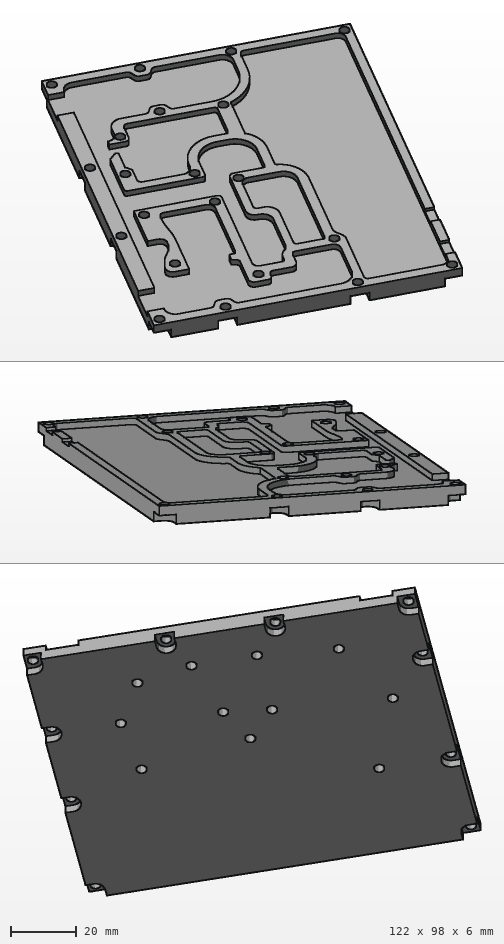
import cadquery as cq
import math

LENGTH = 122.0
WIDTH = 98.0
THICKNESS = 6.0
POCKET_DEPTH = 2.0
FLOOR_Z = THICKNESS - POCKET_DEPTH

RIM_LEFT = 3.2
RIM_RIGHT = LENGTH - RIM_LEFT
RIM_FRONT = 5.2
RIM_BACK = WIDTH - 3.0
RIM_CORNER_RADIUS = 3.5
BACK_CORNER_RADIUS = 2.5

LEFT_WALL = 24.0
WALL_FRONT = 9.5
MIDDLE_BACK = 61.9
RIGHT_BACK = 65.2

OPENING_START = 7.0
OPENING_WIDTH = 10.2

BACK_NOTCH_STARTS = (91.6, 107.9)
BACK_NOTCH_WIDTH = 6.2
BACK_NOTCH_DEPTH = 1.0

HOLE_DIAMETER = 3.2
HEAD_DIAMETER = 6.0
HEAD_DEPTH = 3.0
EDGE_OFFSET = 2.5
FRONT_HOLE_X = (44.0, 78.0)
LEFT_HOLE_Y = (30.5, 59.5)
RIGHT_HOLE_Y = (23.5, 65.5)
WALL_BOSS_HOLE = (LEFT_WALL, LEFT_HOLE_Y[0])
WALL_HOLES = (
    WALL_BOSS_HOLE,
    (26.4, 50.0),
    (32.3, 15.5),
    (49.9, 12.0),
    (55.5, 32.4),
    (61.4, 44.6),
    (70.3, 34.5),
    (70.3, 12.0),
    (95.3, 14.5),
    (107.3, 37.5),
    (97.4, 64.5),
)

BOSS_HEIGHT = 2.9
BOSS_FOOT_HALF = 3.7
BOSS_TIP_HALF = 2.1
BOSS_ROUND = 1.6


def rounded_outline(corners):
    """Draw a closed outline from (x, y, corner radius) vertices."""
    sections = []
    for i, (x, y, radius) in enumerate(corners):
        before = corners[i - 1]
        after = corners[(i + 1) % len(corners)]
        corner = cq.Vector(x, y)
        back = (cq.Vector(before[0], before[1]) - corner).normalized()
        ahead = (cq.Vector(after[0], after[1]) - corner).normalized()
        if radius == 0:
            sections.append((corner,))
            continue
        half_angle = back.getAngle(ahead) / 2
        reach = radius / math.tan(half_angle)
        bisector = (back + ahead).normalized()
        middle = corner + bisector * (radius / math.sin(half_angle) - radius)
        sections.append((corner + back * reach, middle, corner + ahead * reach))

    start = sections[0][-1]
    outline = cq.Workplane("XY").workplane(offset=FLOOR_Z).moveTo(start.x, start.y)
    for section in sections[1:] + sections[:1]:
        outline = outline.lineTo(section[0].x, section[0].y)
        if len(section) > 1:
            _, middle, end = section
            outline = outline.threePointArc((middle.x, middle.y), (end.x, end.y))
    return outline.close()


def pocket(corners):
    """Pocket volume from the floor up to the top face."""
    return rounded_outline(corners).extrude(POCKET_DEPTH)


def boss_bulge(face_x, hole_y, outward, direction):
    """Vertices of a bulge on a wall face; direction is the travel along Y."""
    tip_x = face_x + outward * BOSS_HEIGHT
    return [
        (face_x, hole_y - direction * BOSS_FOOT_HALF, BOSS_ROUND),
        (tip_x, hole_y - direction * BOSS_TIP_HALF, BOSS_ROUND),
        (tip_x, hole_y + direction * BOSS_TIP_HALF, BOSS_ROUND),
        (face_x, hole_y + direction * BOSS_FOOT_HALF, BOSS_ROUND),
    ]


def upper_pocket():
    """Large chamber along the back of the plate."""
    return pocket([
        (RIM_LEFT, RIM_BACK, BACK_CORNER_RADIUS),
        (RIM_LEFT, MIDDLE_BACK, 1.5),
        (22.2, MIDDLE_BACK, 14.5),
        (25.9, 52.5, 0),
        (41.4, 52.5, 0),
        (44.4, 57.1, 9.8),
        (58.4, 57.1, 0.8),
        (60.4, RIGHT_BACK, 9.0),
        (94.0, RIGHT_BACK, 3.0),
        (97.3, 68.0, 3.0),
        (RIM_RIGHT, 68.0, 1.2),
        (RIM_RIGHT, RIM_BACK, BACK_CORNER_RADIUS),
    ])


def middle_pocket():
    """Closed chamber in the middle of the plate."""
    return pocket([
        (62.05, MIDDLE_BACK, 4.5),
        (96.7, MIDDLE_BACK, 1.0),
        (96.7, 52.0, 1.0),
        (77.0, 52.0, 4.0),
        (77.0, 45.0, 1.2),
        (62.05, 45.0, 2.5),
    ])


def lower_pocket():
    """Connected lower chambers, followed clockwise round their common wall face."""
    left_chamber = [
        (RIM_LEFT, RIM_FRONT, RIM_CORNER_RADIUS),
        *boss_bulge(RIM_LEFT, LEFT_HOLE_Y[0], 1, 1),
        (RIM_LEFT, 59.0, 3.5),
        (LEFT_WALL, 59.0, 12.0),
        *boss_bulge(LEFT_WALL, WALL_BOSS_HOLE[1], -1, -1),
        (LEFT_WALL, 14.1, 4.0),
        (33.4, 14.1, 2.7),
        (33.4, 11.3, 0),
        (35.0, 11.3, 0),
    ]
    left_middle_chamber = [
        (35.0, 17.9, 1.5),
        (26.9, 17.9, 1.5),
        (26.9, 47.8, 1.0),
        (40.0, 47.8, 1.2),
        (40.0, 31.9, 11.0),
        (55.0, 31.9, 3.0),
        (55.0, 14.6, 1.3),
        (48.5, 14.6, 0.8),
        (46.8, 12.8, 0),
        (39.9, 12.8, 0.4),
        (39.4, 12.0, 0.2),
        (41.9, WALL_FRONT, 0),
        (57.9, WALL_FRONT, 0.8),
    ]
    central_chamber = [
        (57.9, 35.2, 0.8),
        (42.9, 35.2, 8.0),
        (42.9, 53.9, 7.0),
        (58.8, 53.9, 1.0),
        (58.8, 42.2, 1.5),
        (79.9, 42.2, 2.8),
        (79.9, 49.3, 3.5),
        (97.2, 49.3, 3.0),
        (100.2, 47.0, 3.0),
        (103.65, 47.0, 1.2),
        (103.65, 37.1, 2.0),
        (67.7, 37.1, 1.2),
    ]
    right_middle_chamber = [
        (67.7, WALL_FRONT, 0),
        (82.7, WALL_FRONT, 0),
        (82.7, 15.2, 2.3),
        (87.5, 15.0, 4.0),
        (92.5, 12.0, 5.0),
        (99.1, 10.3, 2.3),
        (99.1, 17.9, 0),
        (82.5, 17.9, 20.0),
        (75.5, 16.5, 20.0),
        (70.95, 16.5, 1.5),
        (70.95, 33.8, 2.3),
        (95.6, 33.8, 1.0),
        (96.0, 31.5, 0.5),
        (98.5, 31.5, 0.5),
        (99.2, 33.8, 1.0),
    ]
    right_chamber = [
        (110.7, 33.8, 1.8),
        (110.7, 40.9, 1.3),
        (106.95, 41.1, 1.3),
        (106.95, 50.2, 2.0),
        (99.95, 50.2, 1.2),
        (99.95, RIGHT_BACK, 2.3),
        (RIM_RIGHT, RIGHT_BACK, 4.8),
        *boss_bulge(RIM_RIGHT, RIGHT_HOLE_Y[0], -1, -1),
        (RIM_RIGHT, RIM_FRONT, RIM_CORNER_RADIUS),
    ]
    left_half = left_chamber + left_middle_chamber + central_chamber
    return pocket(left_half + right_middle_chamber + right_chamber)


def block(x, y, z, length, width, height):
    """Box placed by its lowest corner."""
    return cq.Workplane("XY").box(length, width, height, centered=False).translate((x, y, z))


def front_openings():
    """Gaps in the front rim, level with the pocket floor."""
    left = block(OPENING_START, 0, FLOOR_Z, OPENING_WIDTH, RIM_FRONT, POCKET_DEPTH)
    return left.union(left.mirror("YZ").translate((LENGTH, 0, 0)))


def cut_back_notches(body):
    """Lower the back rim at each notch."""
    notch_z = THICKNESS - BACK_NOTCH_DEPTH
    rim_width = WIDTH - RIM_BACK
    for start in BACK_NOTCH_STARTS:
        notch = block(start, RIM_BACK, notch_z, BACK_NOTCH_WIDTH, rim_width, BACK_NOTCH_DEPTH)
        body = body.cut(notch)
    return body


def edge_recess(x, y, out_x, out_y):
    """Screw head recess at an edge hole, run out through the edges it points to."""
    radius = HEAD_DIAMETER / 2
    recess = cq.Workplane("XY").center(x, y).circle(radius).extrude(HEAD_DEPTH)
    if out_x:
        x_low = min(x, x + out_x * EDGE_OFFSET)
        recess = recess.union(block(x_low, y - radius, 0, EDGE_OFFSET, HEAD_DIAMETER, HEAD_DEPTH))
    if out_y:
        y_low = min(y, y + out_y * EDGE_OFFSET)
        recess = recess.union(block(x - radius, y_low, 0, HEAD_DIAMETER, EDGE_OFFSET, HEAD_DEPTH))
    return recess


FAR_X = LENGTH - EDGE_OFFSET
FAR_Y = WIDTH - EDGE_OFFSET
edge_holes = [
    (EDGE_OFFSET, EDGE_OFFSET, -1, -1),
    (FAR_X, EDGE_OFFSET, 1, -1),
    (FAR_X, FAR_Y, 1, 1),
    (EDGE_OFFSET, FAR_Y, -1, 1),
]
edge_holes += [(x, EDGE_OFFSET, 0, -1) for x in FRONT_HOLE_X]
edge_holes += [(EDGE_OFFSET, y, -1, 0) for y in LEFT_HOLE_Y]
edge_holes += [(FAR_X, y, 1, 0) for y in RIGHT_HOLE_Y]

plate = block(0, 0, 0, LENGTH, WIDTH, THICKNESS)
plate = plate.cut(upper_pocket()).cut(middle_pocket()).cut(lower_pocket())
plate = plate.cut(front_openings())
plate = cut_back_notches(plate)
for edge_hole in edge_holes:
    plate = plate.cut(edge_recess(*edge_hole))

hole_centres = [(x, y) for x, y, _, _ in edge_holes] + list(WALL_HOLES)
holes = cq.Workplane("XY").pushPoints(hole_centres).circle(HOLE_DIAMETER / 2).extrude(THICKNESS)
result = plate.cut(holes)